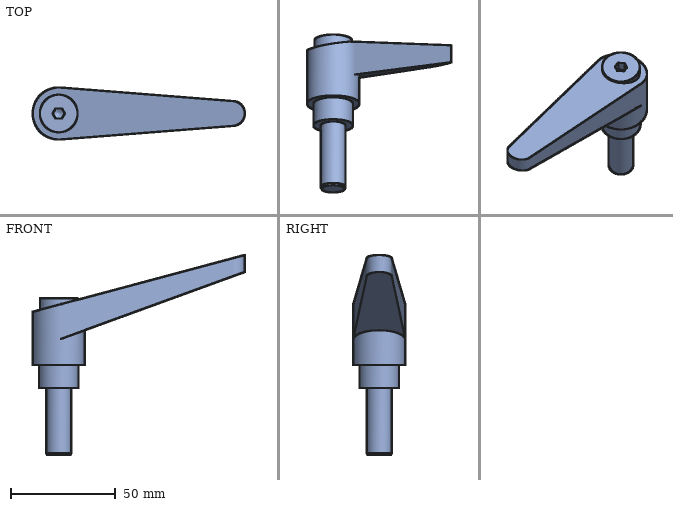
import cadquery as cq
import math

stud_diameter = 12.0
stud_length = 32.0
stud_chamfer_height = 1.0
stud_chamfer_angle = 30.0
collar_diameter = 19.0
collar_length = 11.0

hub_diameter = 25.0
arm_reach = 83.0
tip_radius = 6.0
arm_top_angle = 15.0
arm_bottom_angle = 20.0
hub_rim_height = 25.53
arm_bottom_height = 12.5

cap_diameter = 18.0
cap_top_height = 32.0
socket_across_flats = 5.0
socket_sides = 6
socket_depth = 5.0
drill_point_angle = 118.0

hub_radius = hub_diameter / 2
hub_base_z = stud_length + collar_length
cap_top_z = hub_base_z + cap_top_height
arm_end_x = arm_reach + tip_radius

tangent_cos = (hub_radius - tip_radius) / arm_reach
tangent_sin = math.sqrt(1 - tangent_cos**2)
flank_start_x = hub_radius * tangent_cos


def cylinder(diameter, base_z, length):
    return cq.Workplane("XY").workplane(offset=base_z).circle(diameter / 2).extrude(length)


def revolve_about_z(points):
    """Solid of revolution about Z from a closed outline of (radius, height) points."""
    return cq.Workplane("XZ").polyline(points).close().revolve(360, (0, 0, 0), (0, 1, 0))


def make_stud():
    radius = stud_diameter / 2
    tip_face_radius = radius - stud_chamfer_height * math.tan(math.radians(stud_chamfer_angle))
    return revolve_about_z(
        [
            (0, 0),
            (tip_face_radius, 0),
            (radius, stud_chamfer_height),
            (radius, stud_length),
            (0, stud_length),
        ]
    )


def top_z(x):
    """Height of the sloping top face at x."""
    return hub_base_z + hub_rim_height + (x + hub_radius) * math.tan(math.radians(arm_top_angle))


def bottom_z(x):
    """Height of the sloping underside of the arm at x."""
    return hub_base_z + arm_bottom_height + (x - flank_start_x) * math.tan(math.radians(arm_bottom_angle))


def side_profile(points):
    """Prism with the given XZ outline, wide enough to span the hub."""
    return cq.Workplane("XZ").polyline(points).close().extrude(hub_radius, both=True)


def make_arm():
    start_y = hub_radius * tangent_sin
    end_x = arm_reach + tip_radius * tangent_cos
    end_y = tip_radius * tangent_sin
    plan = (
        cq.Workplane("XY")
        .moveTo(flank_start_x, -start_y)
        .lineTo(end_x, -end_y)
        .threePointArc((arm_end_x, 0), (end_x, end_y))
        .lineTo(flank_start_x, start_y)
        .close()
        .extrude(top_z(arm_end_x))
    )
    slopes = side_profile(
        [
            (flank_start_x, bottom_z(flank_start_x)),
            (arm_end_x, bottom_z(arm_end_x)),
            (arm_end_x, top_z(arm_end_x)),
            (flank_start_x, top_z(flank_start_x)),
        ]
    )
    return plan.intersect(slopes)


def make_hub():
    slopes = side_profile(
        [
            (-hub_radius, hub_base_z),
            (hub_radius, hub_base_z),
            (hub_radius, top_z(hub_radius)),
            (-hub_radius, top_z(-hub_radius)),
        ]
    )
    return cylinder(hub_diameter, hub_base_z, top_z(hub_radius) - hub_base_z).intersect(slopes)


def make_socket():
    across_corners = socket_across_flats / math.cos(math.pi / socket_sides)
    point_radius = across_corners / 2
    point_depth = point_radius / math.tan(math.radians(drill_point_angle / 2))
    floor_z = cap_top_z - socket_depth
    tip_z = floor_z - point_depth
    hexagon = (
        cq.Workplane("XY")
        .workplane(offset=tip_z)
        .polygon(socket_sides, across_corners)
        .extrude(cap_top_z - tip_z)
    )
    drill = revolve_about_z(
        [
            (0, tip_z),
            (point_radius, floor_z),
            (point_radius, cap_top_z),
            (0, cap_top_z),
        ]
    )
    return hexagon.intersect(drill)


stud = make_stud()
collar = cylinder(collar_diameter, stud_length, collar_length)
cap = cylinder(cap_diameter, hub_base_z, cap_top_height)
handle = make_hub().union(make_arm())

result = stud.union(collar).union(handle).union(cap).cut(make_socket())